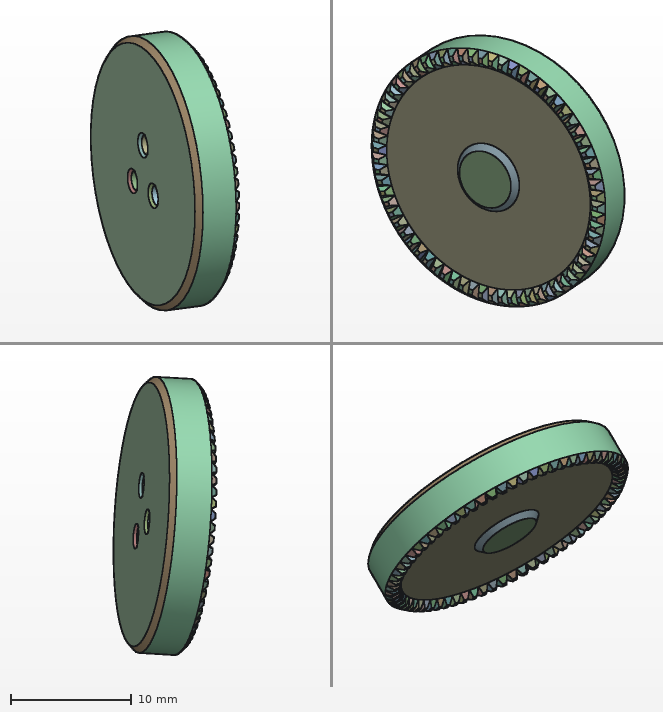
import cadquery as cq
import math

disc_diameter = 23.0
disc_thickness = 4.0
rim_chamfer = 0.5
disc_radius = disc_diameter / 2
front_y = -disc_thickness / 2
back_y = disc_thickness / 2

hub_tip_radius = 2.53
rim_crest_inner_radius = 10.5
recess_depth = rim_chamfer
hub_base_radius = hub_tip_radius + recess_depth
rim_base_inner_radius = rim_crest_inner_radius - recess_depth

groove_count = 70
groove_depth = rim_chamfer
groove_half_angle = 30.0
groove_overrun = 0.23

hole_count = 3
hole_diameter = 1.6
hole_mouth_diameter = 2.1
hole_circle_radius = 2.5
hole_depth = disc_thickness / 2
hole_mouth_depth = (hole_mouth_diameter - hole_diameter) / 2


def turned(profile):
    """Solid of revolution about the Y axis from (radius, y) points."""
    return cq.Workplane("XY").polyline(profile).close().revolve(360, (0, 0, 0), (0, 1, 0))


def make_disc():
    return turned([
        (0, front_y),
        (disc_radius - rim_chamfer, front_y),
        (disc_radius, front_y + rim_chamfer),
        (disc_radius, back_y - rim_chamfer),
        (disc_radius - rim_chamfer, back_y),
        (rim_crest_inner_radius, back_y),
        (rim_base_inner_radius, back_y - recess_depth),
        (hub_base_radius, back_y - recess_depth),
        (hub_tip_radius, back_y),
        (0, back_y),
    ])


def make_groove_cutter():
    """V-shaped bar across the rim in the +Z direction, reaching past the rim on both sides."""
    start_radius = rim_base_inner_radius - groove_overrun
    length = disc_radius + groove_overrun - start_radius
    half_width = (groove_depth + groove_overrun) * math.tan(math.radians(groove_half_angle))
    top_y = back_y + groove_overrun
    profile = [(-half_width, top_y), (half_width, top_y), (0, back_y - groove_depth)]
    return cq.Workplane("XY", origin=(0, 0, start_radius)).polyline(profile).close().extrude(length)


def make_hole_cutter():
    """Blind hole with a chamfered mouth, placed on the +Z side of the axis."""
    hole_radius = hole_diameter / 2
    cutter = turned([
        (0, front_y),
        (hole_mouth_diameter / 2, front_y),
        (hole_radius, front_y + hole_mouth_depth),
        (hole_radius, front_y + hole_depth),
        (0, front_y + hole_depth),
    ])
    return cutter.translate((0, 0, hole_circle_radius))


def around_axis(cutter, count):
    """Equally spaced copies of a cutter around the Y axis, as one compound."""
    step = 360 / count
    copies = [cutter.rotate((0, 0, 0), (0, 1, 0), i * step).val() for i in range(count)]
    return cq.Compound.makeCompound(copies)


result = make_disc()
result = result.cut(around_axis(make_groove_cutter(), groove_count))
result = result.cut(around_axis(make_hole_cutter(), hole_count))